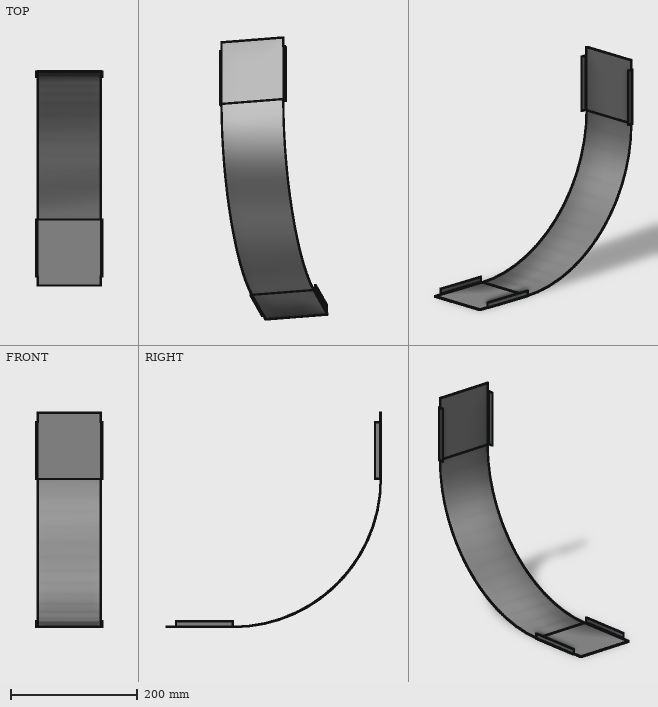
import cadquery as cq
import math

overall_size = 339.5
overall_width = 105.2
strip_width = 100.0
sheet_thickness = 0.7
straight_length = 105.0
channel_length = 90.0
channel_height = 8.8

half_size = overall_size / 2
bend_radius = overall_size - straight_length
inner_bend_radius = bend_radius - sheet_thickness
bend_center_y = half_size - bend_radius
bend_center_z = -half_size + bend_radius


def bend_point(radius, angle):
    """Point on the quarter bend, with angle measured from +Y towards -Z."""
    return (
        bend_center_y + radius * math.cos(math.radians(angle)),
        bend_center_z - radius * math.sin(math.radians(angle)),
    )


def make_bend():
    """Thin quarter-circle strip joining the two flat ends."""
    return (
        cq.Workplane("YZ")
        .moveTo(*bend_point(bend_radius, 0))
        .threePointArc(bend_point(bend_radius, 45), bend_point(bend_radius, 90))
        .lineTo(*bend_point(inner_bend_radius, 90))
        .threePointArc(bend_point(inner_bend_radius, 45), bend_point(inner_bend_radius, 0))
        .close()
        .extrude(strip_width / 2, both=True)
    )


def make_lower_end():
    """Flat strip end carrying a thin channel with two upright flanges and a narrower tongue."""
    strip_bottom = -half_size
    strip_top = strip_bottom + sheet_thickness
    channel_start_y = bend_center_y - channel_length

    def sheet(width, length, height, start_y, bottom):
        return cq.Workplane("XY").box(
            width, length, height, centered=(True, False, False)
        ).translate((0, start_y, bottom))

    strip = sheet(strip_width, straight_length, sheet_thickness, -half_size, strip_bottom)
    tongue = sheet(strip_width, straight_length, sheet_thickness, -half_size, strip_top)
    channel = sheet(overall_width, channel_length, channel_height, channel_start_y, strip_top)
    channel_space = sheet(
        overall_width - 2 * sheet_thickness,
        channel_length,
        channel_height - sheet_thickness,
        channel_start_y,
        strip_top + sheet_thickness,
    )
    return strip.union(tongue).union(channel.cut(channel_space))


lower_end = make_lower_end()
upper_end = lower_end.rotate((0, 0, 0), (1, 0, 0), 90).mirror("XY")
result = make_bend().union(lower_end).union(upper_end)